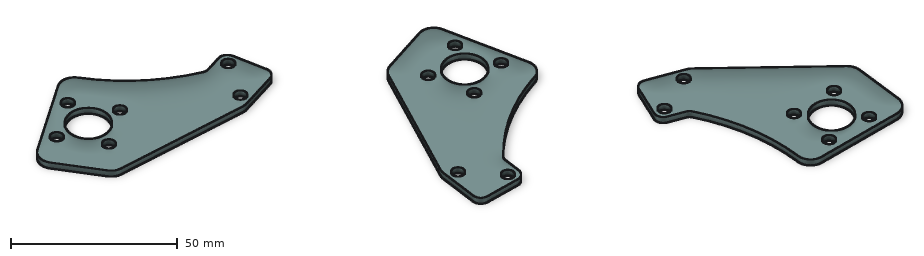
import cadquery as cq
import math

WIDTH = 53.0
LENGTH = 70.6
THICKNESS = 2.4

TILT = math.radians(19.1)
CORNER_RADIUS = 5.0
TAB_RADIUS = 3.05
LEFT_CORNER_SPACING = 30.0
BOTTOM_CORNER_SPACING = 17.6
BEND_CENTRE_Y = 53.9
TAB_LEFT_X = 34.95
SWEEP_RADIUS = 69.35

BORE_DIAMETER = 14.3
BORE_CENTRE = (16.95, 21.7)
SCREW_DIAMETER = 4.25
BOLT_CIRCLE_RADIUS = 11.3
BOLT_COUNT = 4
TAB_HOLE_INSET = 3.7
TAB_HOLE_STEP = 10.6


def polar(centre, radius, angle):
    """Point at a distance and angle from a centre."""
    return (centre[0] + radius * math.cos(angle), centre[1] + radius * math.sin(angle))


def arc(sketch, centre, radius, start, end):
    """Draw a line to the start of an arc, then the arc itself."""
    return sketch.lineTo(*polar(centre, radius, start)).threePointArc(
        polar(centre, radius, (start + end) / 2), polar(centre, radius, end)
    )


def make_plate():
    right, up, left, down = 0, math.pi / 2, math.pi, -math.pi / 2

    bottom_x = CORNER_RADIUS + LEFT_CORNER_SPACING * math.sin(TILT)
    bottom = (bottom_x, CORNER_RADIUS)
    upper_left = polar(bottom, LEFT_CORNER_SPACING, up + TILT)
    lower_right = polar(bottom, BOTTOM_CORNER_SPACING, TILT)
    bend = (WIDTH - CORNER_RADIUS, BEND_CENTRE_Y)
    tab_right = (WIDTH - TAB_RADIUS, LENGTH - TAB_RADIUS)
    tab_left = (TAB_LEFT_X + TAB_RADIUS, LENGTH - TAB_RADIUS)
    sweep = polar(upper_left, SWEEP_RADIUS + CORNER_RADIUS, up + TILT)
    notch_x = TAB_LEFT_X - TAB_RADIUS
    notch_drop = math.sqrt((SWEEP_RADIUS - TAB_RADIUS) ** 2 - (notch_x - sweep[0]) ** 2)
    notch = (notch_x, sweep[1] - notch_drop)

    long_edge = math.atan2(bend[1] - lower_right[1], bend[0] - lower_right[0]) + down
    sweep_end = math.atan2(notch[1] - sweep[1], notch[0] - sweep[0])
    sweep_start = down + TILT

    outline = cq.Workplane("XY").moveTo(*polar(bottom, CORNER_RADIUS, left + TILT))
    outline = outline.threePointArc(
        polar(bottom, CORNER_RADIUS, down + TILT - math.pi / 4),
        polar(bottom, CORNER_RADIUS, down + TILT),
    )
    outline = arc(outline, lower_right, CORNER_RADIUS, down + TILT, long_edge)
    outline = arc(outline, bend, CORNER_RADIUS, long_edge, right)
    outline = arc(outline, tab_right, TAB_RADIUS, right, up)
    outline = arc(outline, tab_left, TAB_RADIUS, up, left)
    outline = arc(outline, notch, TAB_RADIUS, right, sweep_end)

    outline = outline.threePointArc(
        polar(sweep, SWEEP_RADIUS, (sweep_start + sweep_end) / 2),
        polar(sweep, SWEEP_RADIUS, sweep_start),
    )
    outline = outline.threePointArc(
        polar(upper_left, CORNER_RADIUS, up + TILT + math.pi / 4),
        polar(upper_left, CORNER_RADIUS, left + TILT),
    )
    return outline.close().extrude(THICKNESS)


def make_holes():
    bolt_angles = [TILT + math.pi / 4 + i * 2 * math.pi / BOLT_COUNT for i in range(BOLT_COUNT)]
    bolt_points = [polar(BORE_CENTRE, BOLT_CIRCLE_RADIUS, angle) for angle in bolt_angles]
    inner_x = WIDTH - TAB_HOLE_INSET
    upper_y = LENGTH - TAB_HOLE_INSET
    tab_points = [(inner_x - TAB_HOLE_STEP, upper_y), (inner_x, upper_y - TAB_HOLE_STEP)]

    bore = cq.Workplane("XY").center(*BORE_CENTRE).circle(BORE_DIAMETER / 2).extrude(THICKNESS)
    screws = cq.Workplane("XY").pushPoints(bolt_points + tab_points)
    return bore.add(screws.circle(SCREW_DIAMETER / 2).extrude(THICKNESS)).combine()


result = make_plate().cut(make_holes())